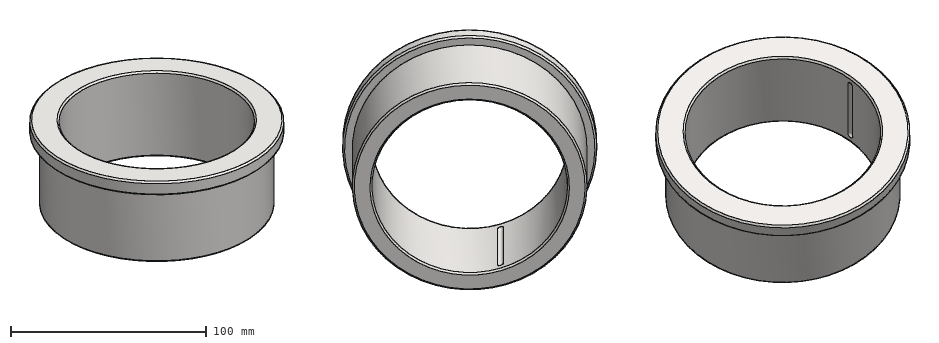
import cadquery as cq

flange_diameter = 130.0
body_diameter = 120.0
bore_diameter = 100.0
total_height = 50.0
flange_thickness = 8.0
edge_chamfer = 1.0

groove_radius = 1.5
groove_end_margin = 4.0
groove_length = total_height - 2 * groove_end_margin


def flanged_body():
    """Plain body with a wider flange at the top, outer rims chamfered."""
    body = cq.Workplane("XY").circle(body_diameter / 2).extrude(total_height)
    body = body.faces("<Z").edges().chamfer(edge_chamfer)
    flange = (
        cq.Workplane("XY")
        .workplane(offset=total_height - flange_thickness)
        .circle(flange_diameter / 2)
        .extrude(flange_thickness)
        .edges()
        .chamfer(edge_chamfer)
    )
    return body.union(flange)


def bore():
    """Through bore that widens at both ends to chamfer its rims."""
    radius = bore_diameter / 2
    rim_radius = radius + edge_chamfer
    return (
        cq.Workplane("XZ")
        .lineTo(rim_radius, 0)
        .lineTo(radius, edge_chamfer)
        .lineTo(radius, total_height - edge_chamfer)
        .lineTo(rim_radius, total_height)
        .lineTo(0, total_height)
        .close()
        .revolve(360, (0, 0, 0), (0, 1, 0))
    )


def groove():
    """Round-bottomed groove with ball-shaped ends, centred on the bore wall."""
    ball_height = groove_end_margin + groove_radius
    straight_length = groove_length - 2 * groove_radius
    start = cq.Workplane("XY").workplane(offset=ball_height).center(bore_diameter / 2, 0)
    cutter = start.circle(groove_radius).extrude(straight_length)
    for end_offset in (0, straight_length):
        cutter = cutter.union(start.workplane(offset=end_offset).sphere(groove_radius))
    return cutter


result = flanged_body().cut(bore()).cut(groove())